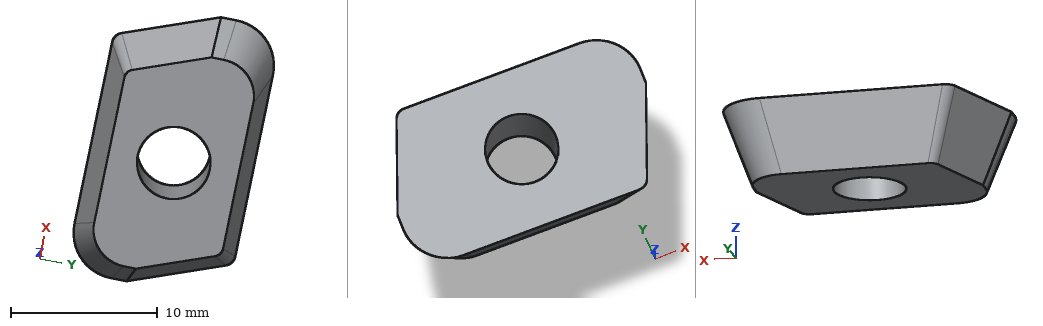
import cadquery as cq
import math

length = 19.2
width = 11.2
height = 5.2

bottom_ratio = 0.8

large_radius = 3.2
small_radius = 0.8
slant_start = 1.32
slant_angle = 20.7

hole_diameter = 5.0


def outline(scale, z):
    """Wire at height z, symmetric under a half turn, with every length times scale."""
    half_length = length / 2
    half_width = width / 2
    slant = math.radians(slant_angle)

    corner_x = half_length - (slant_start + half_width) * math.tan(slant)
    setback = small_radius * math.tan((math.pi / 2 - slant) / 2)

    wire = cq.Workplane("XY", origin=(0, 0, z)).moveTo(-half_length * scale, -slant_start * scale)
    for side in (1, -1):
        def place(x, y):
            return (side * scale * x, side * scale * y)

        wire = (
            wire.lineTo(*place(-half_length, large_radius - half_width))
            .tangentArcPoint(place(large_radius - half_length, -half_width), relative=False)
            .lineTo(*place(corner_x - setback, -half_width))
            .tangentArcPoint(
                place(
                    corner_x + setback * math.sin(slant),
                    -half_width + setback * math.cos(slant),
                ),
                relative=False,
            )
        )
        if side == 1:
            wire = wire.lineTo(*place(half_length, slant_start))
    return wire.close().val()


body = cq.Solid.makeLoft([outline(bottom_ratio, 0), outline(1, height)], True)

hole = cq.Workplane("XY").circle(hole_diameter / 2).extrude(height)

result = cq.Workplane("XY").add(body).cut(hole)